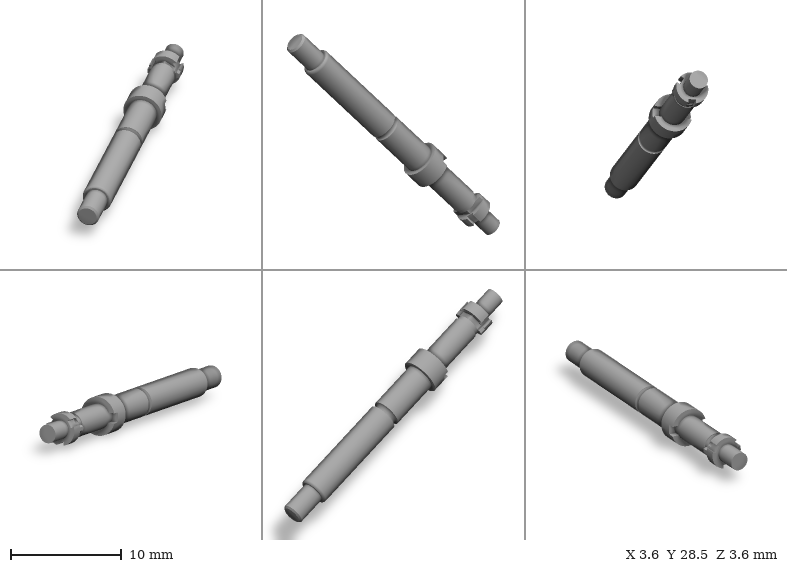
import cadquery as cq
import math

LENGTH = 28.5

BARREL_START = 2.94
GROOVE_CENTER = 13.0
COLLAR_START = 17.95
COLLAR_END = 19.8
BODY_END = 24.35
NECK_END = 24.77
CAP_START = 25.28
CAP_END = 26.3

PLUNGER_R = 2.05 / 2
BARREL_R = 2.7 / 2
COLLAR_R = 3.6 / 2
BODY_R = 2.37 / 2
NECK_R = 2.2 / 2
CAP_R = 3.0 / 2
STEM_R = 1.7 / 2

PLUNGER_CHAMFER = 0.17
NOSE_LENGTH = 0.25
NOSE_DROP = 0.15
GROOVE_R = 0.25

COLLAR_SLOT_WIDTH = 0.95
COLLAR_SLOT_DEPTH = 0.57

KEYWAY_ANGLES = (30.0, 150.0, 270.0)
KEYWAY_WIDTH = 0.7
KEYWAY_FLOOR = 1.1
LUG_FLAT_ANGLES = (60.0, 120.0, 240.0, 300.0)
LUG_FLAT_DISTANCE = 1.8 / 2


def cylinder(radius, start, end):
    """Solid cylinder on the Y axis between two stations."""
    return cq.Workplane("XZ", origin=(0, start, 0)).circle(radius).extrude(start - end)


def radial_block(angle, inner, width, start, end):
    """Block outside a flat at distance `inner`; `angle` runs from +X toward +Z."""
    depth = 2 * COLLAR_R
    block = cq.Workplane("XY").box(depth, end - start, width)
    block = block.translate((inner + depth / 2, (start + end) / 2, 0))
    return block.rotate((0, 0, 0), (0, 1, 0), -angle)


def turned_front():
    """Plunger, grooved barrel, collar, body and neck, revolved about Y."""
    groove_floor = BARREL_R - GROOVE_R
    groove_start = GROOVE_CENTER - GROOVE_R
    groove_end = GROOVE_CENTER + GROOVE_R
    nose_end = BARREL_START + NOSE_LENGTH
    nose_r = (NOSE_LENGTH**2 + NOSE_DROP**2) / (2 * NOSE_DROP)
    half_sweep = math.asin(NOSE_LENGTH / nose_r) / 2
    nose_mid = (BARREL_R - nose_r * (1 - math.cos(half_sweep)), nose_end - nose_r * math.sin(half_sweep))
    profile = (
        cq.Workplane("XY")
        .lineTo(PLUNGER_R - PLUNGER_CHAMFER, 0)
        .lineTo(PLUNGER_R, PLUNGER_CHAMFER)
        .lineTo(PLUNGER_R, BARREL_START)
        .lineTo(BARREL_R - NOSE_DROP, BARREL_START)
        .threePointArc(nose_mid, (BARREL_R, nose_end))
        .lineTo(BARREL_R, groove_start)
        .threePointArc((groove_floor, GROOVE_CENTER), (BARREL_R, groove_end))
        .lineTo(BARREL_R, COLLAR_START)
        .lineTo(COLLAR_R, COLLAR_START)
        .lineTo(COLLAR_R, COLLAR_END)
        .lineTo(BODY_R, COLLAR_END)
        .lineTo(BODY_R, BODY_END)
        .lineTo(NECK_R, BODY_END)
        .lineTo(NECK_R, NECK_END)
        .lineTo(0, NECK_END)
        .close()
    )
    return profile.revolve(360, (0, 0, 0), (0, 1, 0))


def collar_slots(part):
    """Cut the two opposite slots in the collar down to the body surface."""
    slot = cq.Workplane("XY").box(2 * COLLAR_R, COLLAR_SLOT_DEPTH, COLLAR_SLOT_WIDTH)
    slot = slot.translate((0, COLLAR_END - COLLAR_SLOT_DEPTH / 2, 0))
    slot = slot.cut(cylinder(BODY_R, COLLAR_START, BODY_END))
    return part.cut(slot)


def rear_cap():
    """Cap disc with two flat-sided lugs in front and keyways along both."""
    lugs = cylinder(CAP_R, NECK_END, CAP_START)
    for angle in LUG_FLAT_ANGLES:
        lugs = lugs.cut(radial_block(angle, LUG_FLAT_DISTANCE, 2 * COLLAR_R, NECK_END, CAP_START))
    cap = cylinder(CAP_R, CAP_START, CAP_END).union(lugs)
    for angle in KEYWAY_ANGLES:
        cap = cap.cut(radial_block(angle, KEYWAY_FLOOR, KEYWAY_WIDTH, NECK_END, CAP_END))
    return cap


stem = cylinder(STEM_R, CAP_START, LENGTH)
result = collar_slots(turned_front()).union(rear_cap()).union(stem)